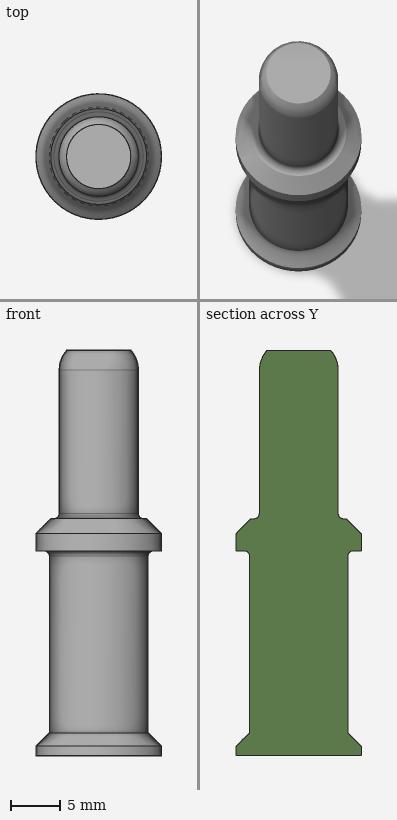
import cadquery as cq
import math

total_height = 41.0
collar_radius = 6.35
body_radius = 5.0
pin_radius = 4.0

foot_rim_height = 1.0
foot_cone_top = foot_rim_height + (collar_radius - body_radius)

collar_top = 24.0
collar_thickness = 3.3
collar_chamfer = 1.5
collar_bottom = collar_top - collar_thickness
root_fillet = 0.5

tip_height = 2.0
tip_arc_radius = 3.0
tip_start = total_height - tip_height
tip_arc_center = pin_radius - tip_arc_radius
tip_flat_radius = tip_arc_center + math.sqrt(tip_arc_radius**2 - tip_height**2)

profile = (
    cq.Workplane("XZ")
    .lineTo(collar_radius, 0)
    .lineTo(collar_radius, foot_rim_height)
    .lineTo(body_radius, foot_cone_top)
    .lineTo(body_radius, collar_bottom - root_fillet)
    .radiusArc((body_radius + root_fillet, collar_bottom), root_fillet)
    .lineTo(collar_radius, collar_bottom)
    .lineTo(collar_radius, collar_top - collar_chamfer)
    .lineTo(collar_radius - collar_chamfer, collar_top)
    .lineTo(pin_radius + root_fillet, collar_top)
    .radiusArc((pin_radius, collar_top + root_fillet), root_fillet)
    .lineTo(pin_radius, tip_start)
    .radiusArc((tip_flat_radius, total_height), -tip_arc_radius)
    .lineTo(0, total_height)
    .close()
)

result = profile.revolve(360, (0, 0, 0), (0, 1, 0))